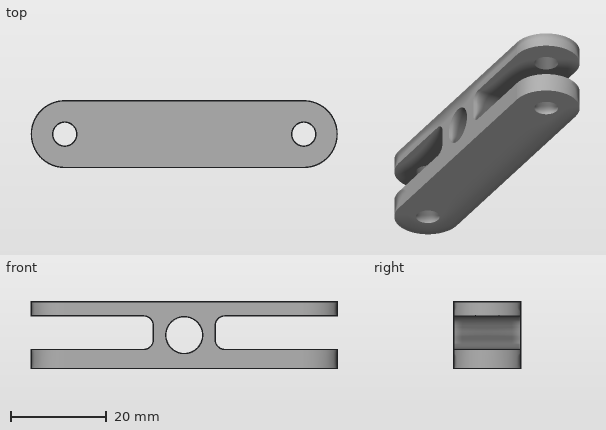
import cadquery as cq

length = 64.0
width = 14.0
height = 14.0
top_plate = 3.0
bottom_plate = 4.0
web_length = 13.0
slot_corner_radius = 2.0
pin_hole_diameter = 5.0
cross_bore_diameter = 7.7

pin_spacing = length - width
slot_height = height - top_plate - bottom_plate
slot_center_z = (bottom_plate - top_plate) / 2
slot_depth = (length - web_length) / 2


def link_body():
    """Solid bar with full-round ends, centred on the origin."""
    return cq.Workplane("XY").slot2D(length, width).extrude(height / 2, both=True)


def fork_slot(side):
    """Cutter for one open-ended fork slot; side is -1 or +1 along X."""
    slot_center_x = side * (web_length + slot_depth) / 2
    inner_face = "<X" if side > 0 else ">X"
    return (
        cq.Workplane("XY")
        .box(slot_depth, width, slot_height)
        .faces(inner_face)
        .edges("|Y")
        .fillet(slot_corner_radius)
        .translate((slot_center_x, 0, slot_center_z))
    )


def pin_holes():
    """Vertical holes through both plates, concentric with the round ends."""
    return (
        cq.Workplane("XY")
        .rarray(pin_spacing, 0.65, 2, 1)
        .circle(pin_hole_diameter / 2)
        .extrude(height / 2, both=True)
    )


def cross_bore():
    """Bore along Y through the central web."""
    return cq.Workplane("XZ").circle(cross_bore_diameter / 2).extrude(width / 2, both=True)


result = link_body()
for side in (-1, 1):
    result = result.cut(fork_slot(side))
result = result.cut(pin_holes()).cut(cross_bore())